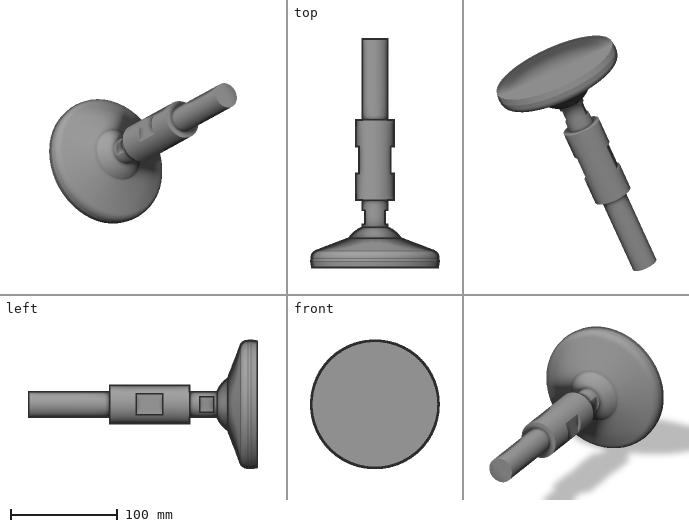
import cadquery as cq
import math

total_length = 214.0

foot_radius = 60.03
base_radius = 59.0
bevel_height = 6.0
rim_top = 9.0
rim_top_radius = 59.7
shoulder_radius = 7.5
dome_base_radius = 24.5
dome_base_height = 27.5
dome_radius = 30.0

rod_diameter = 24.0
rod_radius = rod_diameter / 2
rod_across_flats = 19.0
rod_flat_start = 40.9
rod_flat_length = 12.8

sleeve_diameter = 36.0
sleeve_across_flats = 30.0
sleeve_start = 63.3
sleeve_length = 75.0
sleeve_flat_length = sleeve_length / 3
sleeve_flat_start = sleeve_start + (sleeve_length - sleeve_flat_length) / 2


def cylinder_along_y(diameter, start, length):
    """Cylinder on the Y axis, from Y = start to Y = start + length."""
    return (
        cq.Workplane("XZ", origin=(0, start, 0))
        .circle(diameter / 2)
        .extrude(-length)
    )


def cut_wrench_flats(body, diameter, across_flats, start, length):
    """Cut two opposite flats, facing -X and +X, into a round body."""
    depth = (diameter - across_flats) / 2
    for side in (-1, 1):
        cutter = cq.Workplane("XY").box(depth, length, diameter)
        offset = side * (across_flats + depth) / 2
        body = body.cut(cutter.translate((offset, start + length / 2, 0)))
    return body


def make_foot():
    """Round foot: bevelled base, slightly tapered rim, rounded shoulder, cone and spherical dome."""
    shoulder_center_x = rim_top_radius - shoulder_radius
    run = shoulder_center_x - dome_base_radius
    rise = dome_base_height - rim_top
    cone_angle = math.atan2(rise, run) - math.asin(shoulder_radius / math.hypot(run, rise))

    def shoulder_point(angle):
        return (
            shoulder_center_x + shoulder_radius * math.cos(angle),
            rim_top + shoulder_radius * math.sin(angle),
        )

    shoulder_end_angle = math.pi / 2 - cone_angle

    dome_center = dome_base_height - math.sqrt(dome_radius**2 - dome_base_radius**2)

    def dome_point(radius):
        return (radius, dome_center + math.sqrt(dome_radius**2 - radius**2))

    dome_top = dome_point(rod_radius)
    dome_middle = dome_point((rod_radius + dome_base_radius) / 2)
    return (
        cq.Workplane("XY")
        .moveTo(0, 0)
        .lineTo(base_radius, 0)
        .lineTo(foot_radius, bevel_height)
        .lineTo(rim_top_radius, rim_top)
        .threePointArc(shoulder_point(shoulder_end_angle / 2), shoulder_point(shoulder_end_angle))
        .lineTo(dome_base_radius, dome_base_height)
        .threePointArc(dome_middle, dome_top)
        .lineTo(0, dome_top[1])
        .close()
        .revolve(360, (0, 0, 0), (0, 1, 0))
    )


def make_spindle():
    """Foot and rod in one piece, with wrench flats on the neck of the rod."""
    rod = cylinder_along_y(rod_diameter, dome_base_height, total_length - dome_base_height)
    rod = cut_wrench_flats(rod, rod_diameter, rod_across_flats, rod_flat_start, rod_flat_length)
    return make_foot().union(rod)


def make_sleeve():
    """Sleeve around the rod, with wrench flats halfway along it."""
    sleeve = cylinder_along_y(sleeve_diameter, sleeve_start, sleeve_length)
    sleeve = cut_wrench_flats(
        sleeve, sleeve_diameter, sleeve_across_flats, sleeve_flat_start, sleeve_flat_length
    )
    return sleeve.cut(cylinder_along_y(rod_diameter, sleeve_start, sleeve_length))


spindle = make_spindle()
sleeve = make_sleeve()

result = cq.Compound.makeCompound([spindle.solids().val(), sleeve.solids().val()])